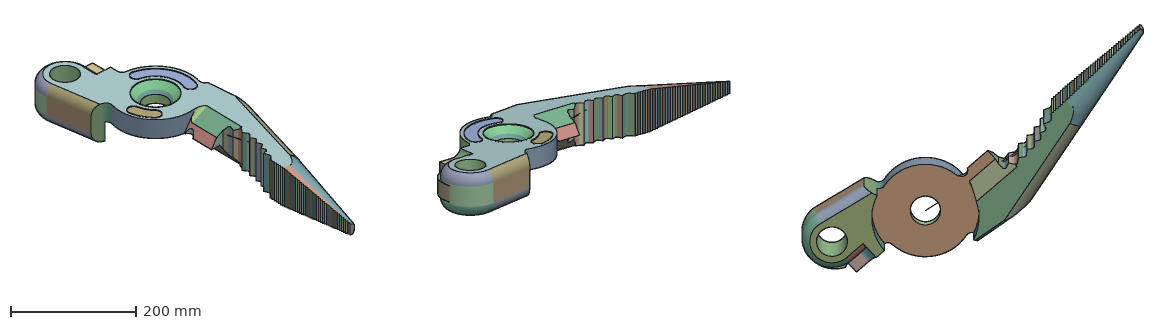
import cadquery as cq
import math

HALF_HEIGHT = 36.45
FAR = 400.0
HALF_GAP = 3.5
GRIP_ANGLE = 20.0
CORNER_FILLET = 10.5

DISC_RADIUS = 77.8
CLEARANCE_RADIUS = 85.7
PIVOT_HOLE_DIAMETER = 48.26
SEAT_DIAMETER = 81.28
SEAT_WAIST_DIAMETER = 56.6
SEAT_RIM_DEPTH = 1.6
SEAT_WAIST_DEPTH = 12.7
SEAT_DEPTH = 19.0
SLOT_RADIUS = 60.0
SLOT_WIDTH = 22.2
SLOT_DEPTH = 1.5
SLOT_ANGLES = [(89.0, 188.5), (-58.0, -23.0)]

HANDLE_X = -105.7
HANDLE_Y = -113.0
HANDLE_RADIUS = 48.26
HANDLE_HOLE_DIAMETER = 49.27
HANDLE_LOWER_ANGLE = 30.0
HANDLE_ROUND_INSET = 12.7
HANDLE_ROUND_DEPTH = 19.05
BLOCK_START = -8.0
BLOCK_SIDE = 67.3
BLOCK_HALF_HEIGHT = 23.75
BLOCK_ROUND_START = 19.0
BLOCK_ROUND_RADIUS = 16.0
PAD_RADIUS = 50.8
PAD_SHIFT = 5.25
PAD_TOP = 42.5
PAD_KEY_TOP = 47.8
PAD_KEY_LEFT = -25.5
PAD_HALF_HEIGHT = 14.0

JAW_HEEL = (HALF_GAP, 93.6)
JAW_SHOULDER = (100.0, 140.8)
TIP_BACK = (427.8, 168.1)
TIP_END = (432.6, 163.5)
TIP_FRONT = (433.9, 157.4)
HEEL_ROUND_INSET = 4.9
HEEL_ROUND_DEPTH = 8.4
BACK_ROUND_INSET = 23.2
TAPER_START = 146.6
TAPER_HALF_ANGLE = 9.1
TIP_OVERRUN = 15.0
TOOTH_COUNT = 38
TOOTH_DEPTH = 2.0
SCALLOP_CUSPS = [
    (249.9, 95.2),
    (227.7, 93.2),
    (211.5, 95.2),
    (194.8, 93.2),
    (177.4, 89.6),
    (159.2, 84.3),
    (139.2, 76.7),
]
SCALLOP_RISE = 6.5
SCALLOP_FLANK = 0.3
SCALLOP_FLANK_RISE = 5.0

BLADE_WALL = 76.5
BLADE_END = 141.5
BLADE_RELIEF_END = 166.0
BLADE_EDGE_OFF = 8.3
BLADE_CORNER_OFF = -17.0
BEVEL_BREAK_OFF = -3.1
BEVEL_BREAK_Z = HALF_HEIGHT / 2
BEVEL_TOP_OFF = -35.2
UNDERSIDE_EDGE_OFF = -10.5
UNDERSIDE_BOTTOM_OFF = -34.6
UNDERSIDE_START = 20.0
BEVEL_END_FILLET = 8.0
NOTCH_CENTER = (86.5, 20.0)
NOTCH_RADIUS = 9.5


def polar(radius, angle):
    return radius * math.cos(math.radians(angle)), radius * math.sin(math.radians(angle))


def direction(start, end):
    return math.degrees(math.atan2(end[1] - start[1], end[0] - start[0]))


def round_radius(inset, depth):
    """Radius of an arc that leaves the side tangentially and reaches the face after inset and depth."""
    return (inset**2 + depth**2) / (2 * inset)


def placed(body, origin, angle):
    return body.rotate((0, 0, 0), (0, 0, 1), angle).translate((origin[0], origin[1], 0))


def rounded_profile(plane, inner, outer, inset, depth):
    """Full-height section from inner to outer whose two outer corners are rounded."""
    radius = round_radius(inset, depth)
    half_sweep = math.asin(depth / radius) / 2
    side_z = HALF_HEIGHT - depth
    mid_x = outer - radius * (1 - math.cos(half_sweep))
    mid_z = side_z + radius * math.sin(half_sweep)
    profile = cq.Workplane(plane).moveTo(inner, -HALF_HEIGHT)
    profile = profile.lineTo(outer - inset, -HALF_HEIGHT)
    profile = profile.threePointArc((mid_x, -mid_z), (outer, -side_z))
    if side_z > 0:
        profile = profile.lineTo(outer, side_z)
    profile = profile.threePointArc((mid_x, mid_z), (outer - inset, HALF_HEIGHT))
    return profile.lineTo(inner, HALF_HEIGHT).close()


def rounded_slab(origin, angle, start, end, inner, outer, inset, depth):
    """Slab running along a plan direction, its left-hand side rounded."""
    slab = rounded_profile("YZ", inner, outer, inset, depth).extrude(end - start)
    return placed(slab.translate((start, 0, 0)), origin, angle)


def full_height(outline):
    return outline.extrude(2 * HALF_HEIGHT).translate((0, 0, -HALF_HEIGHT))


def blade_point(along, off):
    """Plan point at a distance along the blade and off to its cutting side."""
    ax, ay = polar(along, GRIP_ANGLE)
    ox, oy = polar(off, GRIP_ANGLE - 90)
    return ax + ox, ay + oy


def blade_prism(section, start, end):
    """Prism along the blade; its section is given as (off, z) points."""
    points = [(-off, z) for off, z in section]
    prism = cq.Workplane("YZ").polyline(points).close().extrude(end - start)
    return placed(prism.translate((start, 0, 0)), (0, 0), GRIP_ANGLE)


def disc():
    return cq.Workplane("XY").circle(DISC_RADIUS).extrude(HALF_HEIGHT)


def pivot_hole():
    seat = SEAT_DIAMETER / 2
    waist = SEAT_WAIST_DIAMETER / 2
    bore = PIVOT_HOLE_DIAMETER / 2
    section = [
        (0, HALF_HEIGHT),
        (seat, HALF_HEIGHT),
        (seat, HALF_HEIGHT - SEAT_RIM_DEPTH),
        (waist, HALF_HEIGHT - SEAT_WAIST_DEPTH),
        (bore, HALF_HEIGHT - SEAT_DEPTH),
        (bore, 0),
        (0, 0),
    ]
    return cq.Workplane("XZ").polyline(section).close().revolve(360, (0, 0), (0, 1))


def arc_slot(start, end):
    inner = SLOT_RADIUS - SLOT_WIDTH / 2
    outer = SLOT_RADIUS + SLOT_WIDTH / 2
    middle = (start + end) / 2
    cap = math.degrees(SLOT_WIDTH / 2 / SLOT_RADIUS)
    slot = (
        cq.Workplane("XY", origin=(0, 0, HALF_HEIGHT - SLOT_DEPTH))
        .moveTo(*polar(inner, start))
        .threePointArc(polar(inner, middle), polar(inner, end))
        .threePointArc(polar(SLOT_RADIUS, end + cap), polar(outer, end))
        .threePointArc(polar(outer, middle), polar(outer, start))
        .threePointArc(polar(SLOT_RADIUS, start - cap), polar(inner, start))
        .close()
    )
    return slot.extrude(SLOT_DEPTH)


def handle_core():
    """Round end with two tangent sides, all with the same rounded edges."""
    center = (HANDLE_X, HANDLE_Y)
    reach = math.hypot(*center)
    rounding = (HANDLE_ROUND_INSET, HANDLE_ROUND_DEPTH)
    end = rounded_profile("XZ", 0, HANDLE_RADIUS, *rounding).revolve(360, (0, 0), (0, 1))
    core = end.translate((HANDLE_X, HANDLE_Y, 0))
    upper = rounded_slab(center, GRIP_ANGLE, 0, reach, 0, HANDLE_RADIUS, *rounding)
    lower = rounded_slab(center, HANDLE_LOWER_ANGLE + 180, -reach, 0, 0, HANDLE_RADIUS, *rounding)
    wedge_points = [(0, 0), polar(reach, HANDLE_LOWER_ANGLE), polar(reach, GRIP_ANGLE)]
    wedge = full_height(cq.Workplane("XY").polyline(wedge_points).close())
    return core.union(upper).union(lower).union(wedge.translate((HANDLE_X, HANDLE_Y, 0)))


def handle_block():
    """Block on the upper side, stepped down to a lower height that sweeps up to full height."""
    center = (HANDLE_X, HANDLE_Y)
    reach = math.hypot(*center)
    root = HANDLE_RADIUS - HANDLE_ROUND_INSET
    step = HALF_HEIGHT - BLOCK_HALF_HEIGHT
    sweep = math.acos(1 - step / BLOCK_ROUND_RADIUS)
    round_end = BLOCK_ROUND_START + BLOCK_ROUND_RADIUS * math.sin(sweep)
    round_mid = BLOCK_ROUND_START + BLOCK_ROUND_RADIUS * math.sin(sweep / 2)
    mid_z = BLOCK_HALF_HEIGHT + BLOCK_ROUND_RADIUS * (1 - math.cos(sweep / 2))
    block = (
        cq.Workplane("XZ", origin=(0, BLOCK_SIDE, 0))
        .moveTo(BLOCK_START, -BLOCK_HALF_HEIGHT)
        .lineTo(BLOCK_ROUND_START, -BLOCK_HALF_HEIGHT)
        .threePointArc((round_mid, -mid_z), (round_end, -HALF_HEIGHT))
        .lineTo(reach, -HALF_HEIGHT)
        .lineTo(reach, HALF_HEIGHT)
        .lineTo(round_end, HALF_HEIGHT)
        .threePointArc((round_mid, mid_z), (BLOCK_ROUND_START, BLOCK_HALF_HEIGHT))
        .lineTo(BLOCK_START, BLOCK_HALF_HEIGHT)
        .close()
        .extrude(BLOCK_SIDE - root)
    )
    return placed(block, center, GRIP_ANGLE)


def handle_pad():
    """Thin off-centre pad wrapped on the outer end of the handle, with a key into the block."""
    height = 2 * PAD_HALF_HEIGHT
    pad = cq.Workplane("XY").center(0, PAD_SHIFT).circle(PAD_RADIUS).extrude(height)
    trim = cq.Workplane("XY").rect(FAR, 2 * PAD_TOP).extrude(height)
    left_half = cq.Workplane("XY").center(-FAR / 2, 0).rect(FAR, FAR).extrude(height)
    key = cq.Workplane("XY").moveTo(PAD_KEY_LEFT, 0).lineTo(0, 0).lineTo(0, PAD_KEY_TOP)
    key = key.lineTo(PAD_KEY_LEFT, PAD_KEY_TOP).close().extrude(height)
    pad = pad.intersect(trim).intersect(left_half).union(key)
    return pad.translate((HANDLE_X, HANDLE_Y, -PAD_HALF_HEIGHT))


def handle():
    body = handle_core().union(handle_block())
    beyond_gap = cq.Workplane("XY").box(FAR, FAR, FAR).translate((FAR / 2 - HALF_GAP, 0, 0))
    hole = cq.Workplane("XY").circle(HANDLE_HOLE_DIAMETER / 2).extrude(2 * HALF_HEIGHT)
    body = body.cut(beyond_gap).union(handle_pad())
    return body.cut(hole.translate((HANDLE_X, HANDLE_Y, -HALF_HEIGHT)))


def scallop_point(start, end, fraction, rise):
    """Point a fraction of the way between two cusps, raised into the jaw."""
    rise_x, rise_y = polar(rise, direction(start, end) - 90)
    x = start[0] + fraction * (end[0] - start[0])
    y = start[1] + fraction * (end[1] - start[1])
    return x + rise_x, y + rise_y


def jaw_outline():
    """Plan outline with a square back, which the heel, bar and cone trim to shape."""
    outline = cq.Workplane("XY").moveTo(HALF_GAP, 0).lineTo(HALF_GAP, FAR).lineTo(TIP_BACK[0], FAR)
    outline = outline.lineTo(*TIP_BACK).threePointArc(TIP_END, TIP_FRONT)
    first = SCALLOP_CUSPS[0]
    step_x = (first[0] - TIP_FRONT[0]) / TOOTH_COUNT
    step_y = (first[1] - TIP_FRONT[1]) / TOOTH_COUNT
    root_x, root_y = polar(TOOTH_DEPTH, direction(first, TIP_FRONT) + 90)
    for tooth in range(TOOTH_COUNT):
        middle_x = TIP_FRONT[0] + (tooth + 0.5) * step_x
        middle_y = TIP_FRONT[1] + (tooth + 0.5) * step_y
        outline = outline.lineTo(middle_x + root_x, middle_y + root_y)
        outline = outline.lineTo(TIP_FRONT[0] + (tooth + 1) * step_x, TIP_FRONT[1] + (tooth + 1) * step_y)
    ends = SCALLOP_CUSPS + [blade_point(BLADE_END, BLADE_CORNER_OFF)]
    for start, end in zip(ends, ends[1:]):
        flank_end = scallop_point(start, end, SCALLOP_FLANK, SCALLOP_FLANK_RISE)
        crown = scallop_point(start, end, 0.5, SCALLOP_RISE)
        flank_start = scallop_point(start, end, 1 - SCALLOP_FLANK, SCALLOP_FLANK_RISE)
        outline = outline.lineTo(*flank_end).threePointArc(crown, flank_start).lineTo(*end)
    outline = outline.lineTo(*blade_point(BLADE_END, BLADE_EDGE_OFF))
    return outline.lineTo(*blade_point(DISC_RADIUS / 2, BLADE_EDGE_OFF)).close()


def jaw_bar(back_angle):
    """Round-backed bar from the heel to the start of the taper."""
    return rounded_slab(
        JAW_SHOULDER, back_angle, -FAR, TAPER_START, -FAR, 0, BACK_ROUND_INSET, HALF_HEIGHT
    )


def jaw_cone(back_angle):
    """Cone continuing the round back, with flat flanks tangent to its top and bottom."""
    back_radius = round_radius(BACK_ROUND_INSET, HALF_HEIGHT)
    slope = math.radians(TAPER_HALF_ANGLE)
    axis_start = -back_radius * math.tan(slope)
    axis_end = math.dist(JAW_SHOULDER, TIP_BACK) - TAPER_START + TIP_OVERRUN

    def section(workplane, position):
        radius = back_radius / math.cos(slope) - position * math.tan(slope)
        workplane = workplane.moveTo(-FAR, -radius).lineTo(0, -radius)
        return workplane.threePointArc((radius, 0), (0, radius)).lineTo(-FAR, radius).close()

    cone = section(cq.Workplane("YZ"), axis_start)
    cone = section(cone.workplane(offset=axis_end - axis_start), axis_end).loft(ruled=True)
    cone = placed(cone.translate((axis_start, 0, 0)), (TAPER_START, -back_radius), TAPER_HALF_ANGLE)
    before = cq.Workplane("XY").box(FAR, 3 * FAR, FAR).translate((TAPER_START - FAR / 2, 0, 0))
    return placed(cone.cut(before), JAW_SHOULDER, back_angle)


def upper_bevels():
    """Two bevels above the cutting edge, rounded where they end at the disc."""
    rise = (HALF_HEIGHT - BEVEL_BREAK_Z) / (BEVEL_BREAK_OFF - BEVEL_TOP_OFF)
    above = 2 * HALF_HEIGHT
    top_off = BEVEL_BREAK_OFF - (above - BEVEL_BREAK_Z) / rise
    section = [
        (top_off, above),
        (BEVEL_BREAK_OFF, BEVEL_BREAK_Z),
        (BLADE_EDGE_OFF, 0),
        (FAR, 0),
        (FAR, above),
    ]
    tool = blade_prism(section, BLADE_WALL, BLADE_RELIEF_END)
    corner = blade_point(BLADE_WALL, (top_off + BEVEL_BREAK_OFF) / 2)
    edge = cq.selectors.NearestToPointSelector((*corner, (above + BEVEL_BREAK_Z) / 2))
    return tool.edges(edge).fillet(BEVEL_END_FILLET)


def underside_bevel():
    section = [
        (UNDERSIDE_BOTTOM_OFF, -HALF_HEIGHT),
        (UNDERSIDE_EDGE_OFF, 0),
        (FAR, 0),
        (FAR, -HALF_HEIGHT),
    ]
    return blade_prism(section, UNDERSIDE_START, BLADE_RELIEF_END)


def jaw():
    heel_angle = direction(JAW_HEEL, JAW_SHOULDER)
    heel = rounded_slab(
        JAW_HEEL, heel_angle, -FAR, 2 * FAR, -FAR, 0, HEEL_ROUND_INSET, HEEL_ROUND_DEPTH
    )
    back_angle = direction(JAW_SHOULDER, TIP_BACK)
    blank = full_height(jaw_outline())
    body = blank.intersect(jaw_bar(back_angle)).intersect(heel).union(blank.intersect(jaw_cone(back_angle)))
    notch = full_height(cq.Workplane("XY").center(*NOTCH_CENTER).circle(NOTCH_RADIUS))
    return body.cut(upper_bevels()).cut(underside_bevel()).cut(notch)


def joined_corners():
    """Plan points where the handle and jaw sides meet the pivot disc."""
    gap_y = math.sqrt(DISC_RADIUS**2 - HALF_GAP**2)
    across = polar(1, GRIP_ANGLE + 90)
    side = BLOCK_SIDE + HANDLE_X * across[0] + HANDLE_Y * across[1]
    along = -math.sqrt(DISC_RADIUS**2 - side**2)
    return [(-HALF_GAP, -gap_y), (HALF_GAP, gap_y), blade_point(along, -side)]


def build():
    clearance = cq.Workplane("XY").circle(CLEARANCE_RADIUS).extrude(-HALF_HEIGHT)
    body = handle().union(jaw()).cut(clearance).union(disc())
    for x, y in joined_corners():
        corner = cq.selectors.NearestToPointSelector((x, y, HALF_HEIGHT / 2))
        body = body.edges("|Z").edges(corner).fillet(CORNER_FILLET)
    body = body.cut(pivot_hole())
    for start, end in SLOT_ANGLES:
        body = body.cut(arc_slot(start, end))
    return body


result = build()